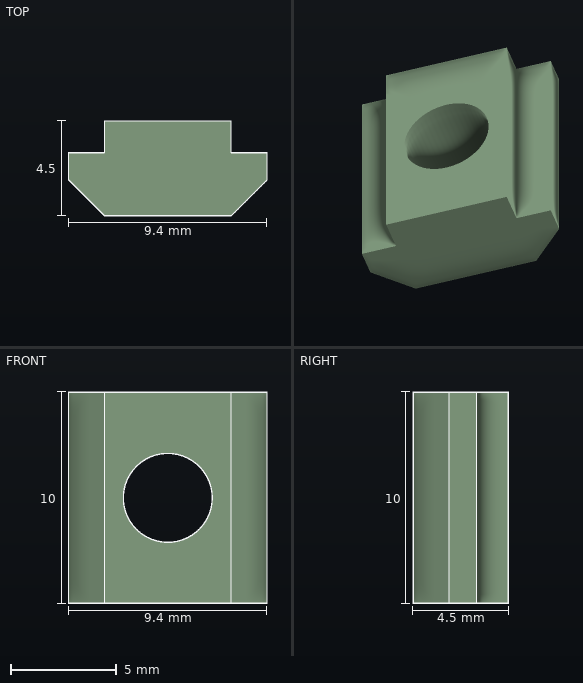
import cadquery as cq

width = 9.4
depth = 4.5
length = 10.0

neck_width = 6.0
neck_depth = 1.5
hole_diameter = 4.2

half_width = width / 2
half_neck = neck_width / 2
bevel = half_width - half_neck
front_y = -depth / 2
back_y = depth / 2
bevel_y = front_y + bevel
shoulder_y = back_y - neck_depth


def make_body():
    """Extrude the T-shaped cross-section along Z, centred on the origin."""
    right_side = [
        (half_neck, front_y),
        (half_width, bevel_y),
        (half_width, shoulder_y),
        (half_neck, shoulder_y),
        (half_neck, back_y),
    ]
    left_side = [(-x, y) for x, y in reversed(right_side)]
    base = cq.Workplane("XY").workplane(offset=-length / 2)
    return base.polyline(right_side + left_side).close().extrude(length)


def make_hole():
    """Cylinder along Y that passes through the centre of the nut."""
    back_plane = cq.Workplane("XZ", origin=(0, back_y, 0))
    return back_plane.circle(hole_diameter / 2).extrude(depth)


result = make_body().cut(make_hole())